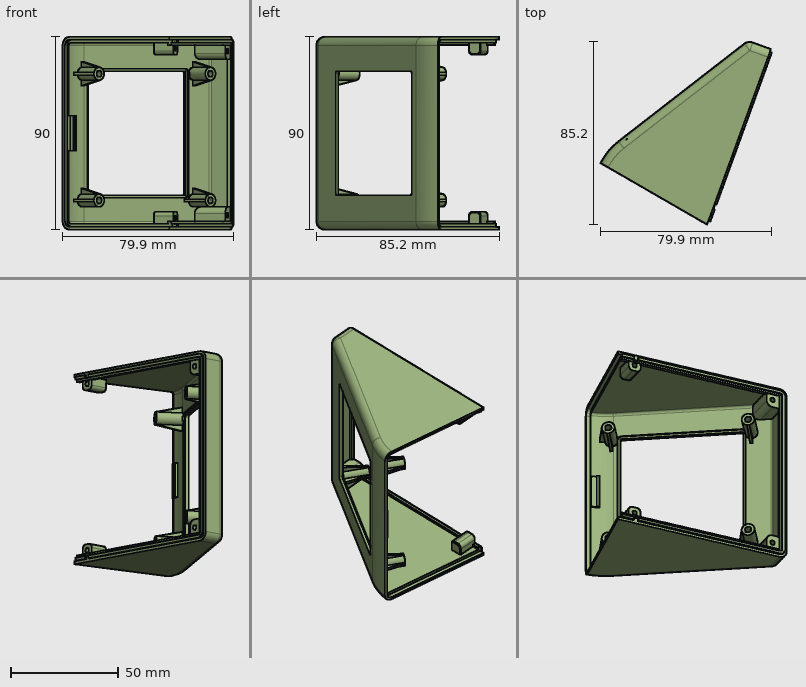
import cadquery as cq
import math

height = 90.0
base_angle = 70.0
opening_angle = 150.0
face_angle = 37.8
base_length = 87.1
back_width = 11.3
face_length = 76.5
nose_radius = 30.0
nose_sweep = 45.0
overrun = 13.5

outer_layer = 1.35
wall = 2.8
face_wall = 2.3
edge_round = 4.0
rebate = 2.0
lip = 1.0
lip_notch_start = 7.8
lip_notch_end = 10.2

rib_width = 1.35
rib_overhang = 0.4
rib_height = 1.1

window_size = 57.8
window_depth = 1.6
step_width = 1.2
window_corner = 0.9
window_from_corner = 44.4

boss_spacing_along = 65.7
boss_spacing_up = 59.0
boss_diameter = 6.0
boss_tip_depth = 15.1
boss_hole_diameter = 3.0
boss_hole_depth = 9.0
boss_drop = 1.8
fin_reach = 5.6
fin_thickness = 1.3

lug_width = 6.0
front_lug_start = 5.6
front_lug_length = 9.9
front_lug_height = 8.5
front_lug_round = 2.0
front_lug_bevel = 0.45
back_lug_start = 76.7
back_lug_length = 19.8
back_lug_height = 10.6
back_lug_round = 3.0
front_lug_hole = 5.5
back_lug_hole = 6.75
lug_hole_diameter = 2.25
lug_hole_depth = 7.2

catch_width = 16.2
catch_start_angle = 152.0
catch_ridge_angle = 144.0
catch_end_angle = 141.0
catch_pad_height = 0.7
catch_ridge_height = 1.5

big = 270.0


def direction(angle):
    return cq.Vector(math.cos(math.radians(angle)), math.sin(math.radians(angle)), 0)


def on_circle(radius, angle):
    point = direction(angle) * radius
    return point.x, point.y


along_base = direction(base_angle)
out_of_base = direction(base_angle - 90)
along_opening = direction(opening_angle)
into_opening = direction(opening_angle - 90)
along_face = direction(face_angle)
out_of_face = direction(face_angle + 90)
up = cq.Vector(0, 0, 1)

back_corner = along_base * base_length - out_of_base * back_width
nose_centre = back_corner - along_face * face_length - out_of_face * nose_radius

base_plane = cq.Plane(origin=(0, 0, 0), xDir=along_base, normal=out_of_base)
face_centre = back_corner - along_face * window_from_corner
face_plane = cq.Plane(origin=face_centre, xDir=along_face * -1, normal=out_of_face)


def form(inset, face_inset):
    """Rounded wedge overrunning both openings, set in from the outer back wall, sides, face and nose."""
    corner_angle = math.radians(90 - (base_angle - face_angle))
    shift = (inset - face_inset * math.cos(corner_angle)) / math.sin(corner_angle)
    corner = back_corner - out_of_face * face_inset - along_face * shift
    back_end = corner + out_of_base * (back_width + overrun)
    nose_start = nose_centre + out_of_face * (nose_radius - face_inset)
    nose_middle = nose_centre + direction(face_angle + 90 + nose_sweep / 2) * (nose_radius - face_inset)
    nose_end = nose_centre + direction(face_angle + 90 + nose_sweep) * (nose_radius - face_inset)
    bottom = (out_of_base - into_opening) * overrun
    plan = (
        cq.Workplane("XY", origin=(0, 0, inset - height / 2))
        .moveTo(corner.x, corner.y)
        .lineTo(nose_start.x, nose_start.y)
        .threePointArc((nose_middle.x, nose_middle.y), (nose_end.x, nose_end.y))
        .lineTo(bottom.x, bottom.y)
        .lineTo(back_end.x, back_end.y)
        .close()
    )
    solid = plan.extrude(height - 2 * inset)
    rims = solid.faces("<Z or >Z").edges()
    back_edge = solid.edges("|Z").edges(cq.NearestToPointSelector((corner.x, corner.y, 0)))
    return rims.add(back_edge).fillet(edge_round - inset)


def trim(front_offset, base_offset):
    """Region behind the front opening plane and inside the base opening plane."""
    front_plane = cq.Plane(origin=into_opening * front_offset, xDir=along_opening, normal=into_opening)
    behind_front = cq.Workplane(front_plane).rect(big, big).extrude(big)
    inside_base = cq.Workplane(base_plane).workplane(offset=base_offset).rect(big, big).extrude(-big)
    return behind_front.intersect(inside_base)


def shell():
    skin, lining, cavity = form(0, 0), form(outer_layer, outer_layer), form(wall, face_wall)
    notch_middle = (lip_notch_start + lip_notch_end) / 2
    notch = (
        cq.Workplane(base_plane)
        .center(notch_middle, 0)
        .rect(lip_notch_end - lip_notch_start, height)
        .extrude(lip)
    )
    outer = skin.cut(lining).intersect(trim(0, 0))
    inner = lining.cut(cavity).intersect(trim(rebate, lip)).cut(notch)
    rib_inset = wall + rib_height
    rib_zone = trim(rebate, rib_overhang).cut(trim(rebate, -rib_width))
    rib = cavity.cut(form(rib_inset, rib_inset)).intersect(rib_zone)
    return outer.union(inner).union(rib)


def window():
    straight = (
        cq.Workplane(face_plane)
        .rect(window_size, window_size)
        .extrude(-wall)
        .edges(cq.selectors.ParallelDirSelector(out_of_face))
        .fillet(window_corner)
    )
    recess = (
        cq.Workplane(face_plane)
        .workplane(offset=-window_depth)
        .rect(window_size + 2 * step_width, window_size + 2 * step_width)
        .extrude(window_depth - wall)
        .edges(cq.selectors.ParallelDirSelector(out_of_face))
        .fillet(window_corner + step_width)
    )
    return straight.union(recess)


def fin(x, y, away):
    """Tapered fin beside the boss at (x, y) of the face frame, pointing away from it."""
    axis = face_plane.toWorldCoords((x, y, 0))
    side = out_of_face.cross(away)
    plane = cq.Plane(origin=axis - side * (fin_thickness / 2), xDir=away, normal=side)
    return (
        cq.Workplane(plane)
        .polyline(
            [
                (0, outer_layer),
                (fin_reach, outer_layer),
                (fin_reach, wall),
                (boss_diameter / 2, boss_tip_depth),
                (0, boss_tip_depth),
            ]
        )
        .close()
        .extrude(fin_thickness)
    )


def bosses():
    nose_side, back_side = boss_spacing_along / 2, -boss_spacing_along / 2
    top = boss_spacing_up / 2 - boss_drop
    bottom = -boss_spacing_up / 2 - boss_drop
    to_nose = along_face * -1
    fins_at = {
        (nose_side, top): (up, up * -1, to_nose),
        (back_side, top): (up, up * -1),
        (nose_side, bottom): (up, to_nose),
        (back_side, bottom): (up, to_nose),
    }
    posts = (
        cq.Workplane(face_plane)
        .workplane(offset=-outer_layer)
        .pushPoints(list(fins_at))
        .circle(boss_diameter / 2)
        .extrude(outer_layer - boss_tip_depth)
    )
    for (x, y), directions in fins_at.items():
        for away in directions:
            posts = posts.union(fin(x, y, away))
    holes = (
        cq.Workplane(face_plane)
        .workplane(offset=-boss_tip_depth)
        .pushPoints(list(fins_at))
        .circle(boss_hole_diameter / 2)
        .extrude(boss_hole_depth)
    )
    return posts.cut(holes)


def lug(start, width, length, rise, hole_along, hole_rise):
    """Lower lug block with square edges, reaching inward from the base opening, and its screw hole."""
    floor = -height / 2
    block = (
        cq.Workplane(base_plane)
        .moveTo(start, floor + outer_layer)
        .lineTo(start + width, floor + outer_layer)
        .lineTo(start + width, floor + rise)
        .lineTo(start, floor + rise)
        .close()
        .extrude(-length)
    )
    hole = (
        cq.Workplane(base_plane)
        .center(hole_along, floor + hole_rise)
        .circle(lug_hole_diameter / 2)
        .extrude(-lug_hole_depth)
    )
    return block, hole


def lugs():
    """Both lower lugs and their mirror images on the upper side plate."""
    lengthwise = cq.selectors.ParallelDirSelector(out_of_base)
    front_block, front_hole = lug(
        front_lug_start,
        lug_width,
        front_lug_length,
        front_lug_height,
        front_lug_start + lug_width / 2,
        front_lug_hole,
    )
    back_block, back_hole = lug(
        back_lug_start,
        base_length - back_lug_start,
        back_lug_length,
        back_lug_height,
        back_lug_start + lug_width / 2,
        back_lug_hole,
    )
    front_block = front_block.edges(lengthwise).edges(">Z").fillet(front_lug_round)
    front_block = front_block.faces(cq.DirectionMinMaxSelector(out_of_base, False)).chamfer(front_lug_bevel)
    low_corner = base_plane.toWorldCoords((back_lug_start, back_lug_height - height / 2, 0))
    back_block = back_block.edges(lengthwise).edges(cq.NearestToPointSelector(low_corner.toTuple()))
    back_block = back_block.fillet(back_lug_round)
    lower = front_block.union(back_block.intersect(form(outer_layer, outer_layer)))
    lower = lower.cut(front_hole).cut(back_hole)
    return lower.union(lower.mirror("XY"))


def nose_pad(start_angle, pad_height):
    """Raised strip on the inner nose wall, curved about the nose axis and centred on mid height."""
    outer_radius = nose_radius - outer_layer
    inner_radius = nose_radius - face_wall - pad_height
    middle_angle = (start_angle + catch_end_angle) / 2
    return (
        cq.Workplane("XY", origin=nose_centre - up * (catch_width / 2))
        .moveTo(*on_circle(outer_radius, start_angle))
        .threePointArc(on_circle(outer_radius, middle_angle), on_circle(outer_radius, catch_end_angle))
        .lineTo(*on_circle(inner_radius, catch_end_angle))
        .threePointArc(on_circle(inner_radius, middle_angle), on_circle(inner_radius, start_angle))
        .close()
        .extrude(catch_width)
    )


def catch():
    """Low pad at the front opening that ends in a taller ridge."""
    pad = nose_pad(catch_start_angle, catch_pad_height)
    ridge = nose_pad(catch_ridge_angle, catch_ridge_height)
    return pad.union(ridge).intersect(trim(rebate, 0))


result = shell().union(bosses()).union(lugs()).union(catch()).cut(window())